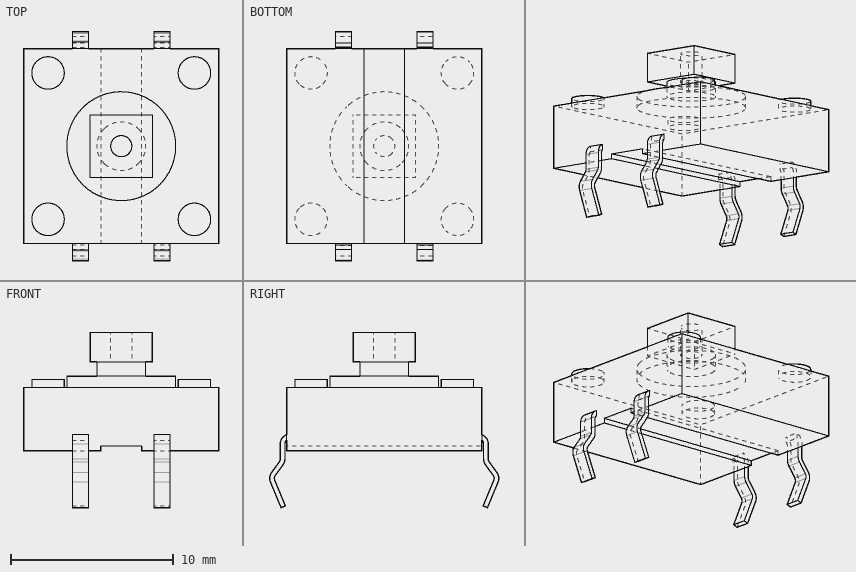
import cadquery as cq
import math

body_side = 12.0
body_height = 3.9
channel_width = 2.5
channel_depth = 0.3

pad_diameter = 2.0
pad_height = 0.5
pad_spacing = 9.0

collar_diameter = 6.7
collar_height = 0.7
stem_diameter = 3.0
stem_height = 0.88
cap_side = 3.83
cap_height = 1.8
cap_hole_diameter = 1.3
cap_hole_depth = cap_height

lead_width = 1.0
lead_thickness = 0.3
lead_spacing = 5.0
wall_gap = 0.1
inner_bend_radius = 0.3
shoulder_bend_z = 0.43
vertical_run_end_z = -0.5
lead_bulge_y = 7.05
lead_tip_z = -3.5
kick_out_angle = math.radians(36)
tail_angle = math.radians(22.5)

mid_bend_radius = inner_bend_radius + lead_thickness / 2
body_half = body_side / 2


def make_body():
    body = cq.Workplane("XY").box(body_side, body_side, body_height, centered=(True, True, False))
    channel = cq.Workplane("XY").box(
        channel_width, body_side, channel_depth, centered=(True, True, False)
    )
    return body.cut(channel)


def make_pads():
    return (
        cq.Workplane("XY")
        .workplane(offset=body_height)
        .rarray(pad_spacing, pad_spacing, 2, 2)
        .circle(pad_diameter / 2)
        .extrude(pad_height)
    )


def make_actuator():
    base = cq.Workplane("XY").workplane(offset=body_height)
    collar = base.circle(collar_diameter / 2).extrude(collar_height)
    stem = collar.faces(">Z").workplane().circle(stem_diameter / 2).extrude(stem_height)
    cap = stem.faces(">Z").workplane().rect(cap_side, cap_side).extrude(cap_height)
    return cap.faces(">Z").workplane().hole(cap_hole_diameter, cap_hole_depth)


def bend_point(center, angle):
    """Point (y, z) on the mid-thickness arc around a bend center, angle measured from +Y."""
    return (
        center[0] + mid_bend_radius * math.cos(angle),
        center[1] + mid_bend_radius * math.sin(angle),
    )


def bend_arc(path, center, start_angle, end_angle):
    middle = bend_point(center, (start_angle + end_angle) / 2)
    return path.threePointArc(middle, bend_point(center, end_angle))


def make_lead():
    """Lead on the +Y side, centered on X = 0: a strip swept along its mid-thickness line."""
    vertical_y = body_half + wall_gap + lead_thickness / 2
    shoulder_center = (vertical_y - mid_bend_radius, shoulder_bend_z)
    kick_center = (vertical_y + mid_bend_radius, vertical_run_end_z)
    bulge_center_y = lead_bulge_y - lead_thickness / 2 - mid_bend_radius

    kick_end = bend_point(kick_center, math.pi + kick_out_angle)
    slope_end_y = bulge_center_y + mid_bend_radius * math.cos(kick_out_angle)
    slope_end_z = kick_end[1] - (slope_end_y - kick_end[0]) / math.tan(kick_out_angle)
    bulge_center = (bulge_center_y, slope_end_z - mid_bend_radius * math.sin(kick_out_angle))

    tail_start = bend_point(bulge_center, -tail_angle)
    tail_end_z = lead_tip_z + lead_thickness / 2 * math.sin(tail_angle)
    tail_end_y = tail_start[0] - (tail_start[1] - tail_end_z) * math.tan(tail_angle)

    path = cq.Workplane("YZ").moveTo(*bend_point(shoulder_center, math.pi / 2))
    path = bend_arc(path, shoulder_center, math.pi / 2, 0)
    path = path.lineTo(vertical_y, vertical_run_end_z)
    path = bend_arc(path, kick_center, math.pi, math.pi + kick_out_angle)
    path = path.lineTo(slope_end_y, slope_end_z)
    path = bend_arc(path, bulge_center, kick_out_angle, -tail_angle)
    path = path.lineTo(tail_end_y, tail_end_z)

    root_y, root_z = bend_point(shoulder_center, math.pi / 2)
    section = cq.Workplane("XZ", origin=(0, root_y, root_z)).rect(lead_width, lead_thickness)
    return section.sweep(path)


result = make_body().union(make_pads()).union(make_actuator())

back_lead = make_lead()
front_lead = back_lead.mirror("XZ")
for lead_x in (-lead_spacing / 2, lead_spacing / 2):
    for lead in (back_lead, front_lead):
        result = result.union(lead.translate((lead_x, 0, 0)))